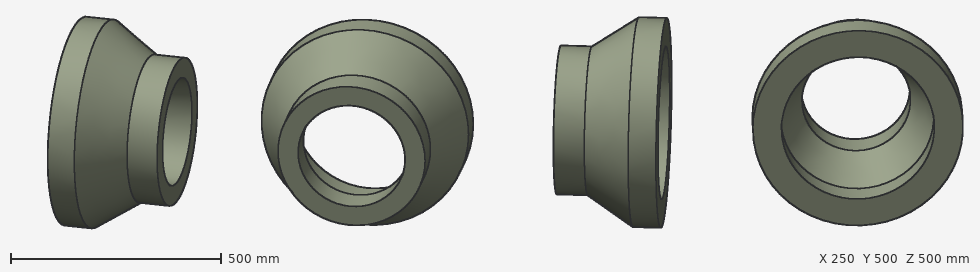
import cadquery as cq

large_outer_diameter = 500.0
small_outer_diameter = 355.0
large_bore_diameter = 363.5
small_bore_diameter = 258.0

total_length = 250.0
large_end_length = 66.0
small_end_length = 74.0
small_end_start = total_length - small_end_length


def stepped_cone(large_diameter, small_diameter):
    """Solid of revolution about X: large cylinder, cone, small cylinder."""
    large_radius = large_diameter / 2
    small_radius = small_diameter / 2
    return (
        cq.Workplane("XY")
        .moveTo(0, 0)
        .lineTo(0, large_radius)
        .lineTo(large_end_length, large_radius)
        .lineTo(small_end_start, small_radius)
        .lineTo(total_length, small_radius)
        .lineTo(total_length, 0)
        .close()
        .revolve(360, (0, 0, 0), (1, 0, 0))
    )


body = stepped_cone(large_outer_diameter, small_outer_diameter)
bore = stepped_cone(large_bore_diameter, small_bore_diameter)

result = body.cut(bore)